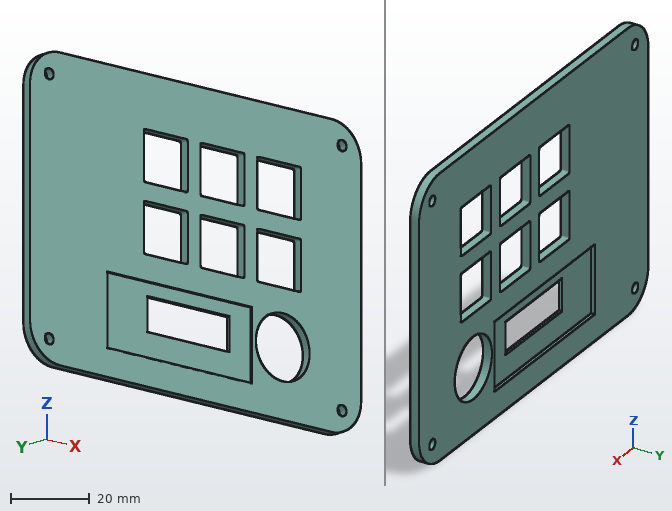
import cadquery as cq

panel_width = 111.4
panel_height = 82.9
thickness = 2.7
corner_radius = 10.0

mount_hole_diameter = 2.9
mount_spacing_x = 98.5
mount_spacing_z = 70.2

button_width = 14.7
button_height = 14.0
button_corner_radius = 0.6
button_pitch = 19.0
button_columns = 3
button_rows = 2
button_grid_center = (9.0, 10.1)

recess_width = 48.7
recess_height = 20.2
recess_center = (-5.3, -23.6)
front_recess_depth = 0.6
rear_pocket_depth = 1.1
window_width = 27.5
window_height = 9.5
window_center = (-1.9, -22.0)

round_opening_diameter = 18.0
round_opening_center = (29.3, -22.2)


def block(width, height, depth, center=(0, 0), front_y=-thickness / 2):
    """Rectangular block centred at (x, z), running from front_y toward +Y."""
    x, z = center
    return cq.Workplane("XY").box(width, depth, height).translate((x, front_y + depth / 2, z))


def cylinder(diameter, center):
    """Cylinder along Y through the full panel thickness."""
    x, z = center
    return (
        cq.Workplane("XZ", origin=(x, 0, z))
        .circle(diameter / 2)
        .extrude(thickness / 2, both=True)
    )


result = block(panel_width, panel_height, thickness).edges("|Y").fillet(corner_radius)

for side_x in (-1, 1):
    for side_z in (-1, 1):
        hole_center = (side_x * mount_spacing_x / 2, side_z * mount_spacing_z / 2)
        result = result.cut(cylinder(mount_hole_diameter, hole_center))

for column in range(button_columns):
    for row in range(button_rows):
        button_center = (
            button_grid_center[0] + (column - (button_columns - 1) / 2) * button_pitch,
            button_grid_center[1] + (row - (button_rows - 1) / 2) * button_pitch,
        )
        button = block(button_width, button_height, thickness, button_center)
        result = result.cut(button.edges("|Y").fillet(button_corner_radius))

rear_pocket_y = thickness / 2 - rear_pocket_depth
result = result.cut(block(recess_width, recess_height, front_recess_depth, recess_center))
result = result.cut(
    block(recess_width, recess_height, rear_pocket_depth, recess_center, rear_pocket_y)
)
result = result.cut(block(window_width, window_height, thickness, window_center))

result = result.cut(cylinder(round_opening_diameter, round_opening_center))